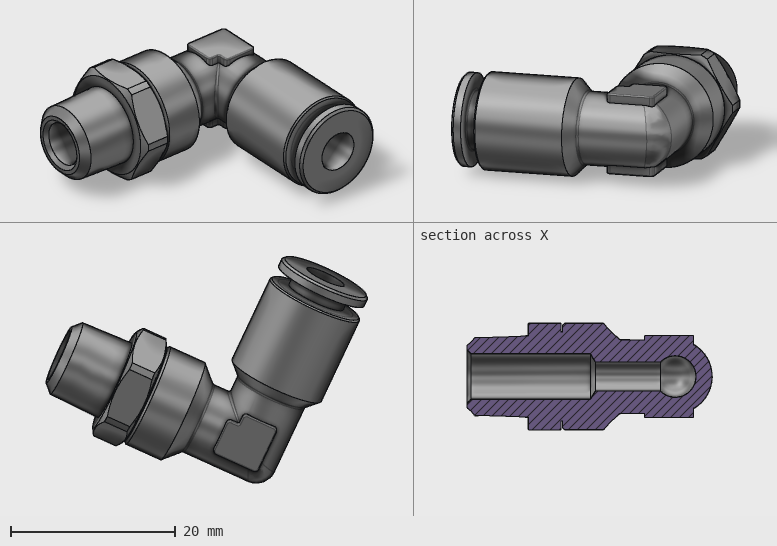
import math

import cadquery as cq


PIPE_R = 4.5
OUTER_BEND_R = 2.4
INNER_BEND_R = 0.3
CORE_HALF_WIDTH = 2.0
NECK_FILLET_R = 0.4
NECK_CONE_ANGLE = math.radians(45)
MITRE_TURN = -45
MITRE_TOLERANCE = 1e-4
ELBOW_REACH = 6.0

PAD_TOP_Z = 5.0
PAD_SIZE = 6.0
PAD_NEAR = -2.25
PAD_NOTCH = 1.5
PAD_CORNER_R = 0.5
PAD_NOTCH_R = 0.2
PAD_EDGE_R = 0.15

LEG_BODY_R = 6.5
LEG_CONE_START = 6.75
LEG_CONE_END = LEG_CONE_START + (LEG_BODY_R - PIPE_R) / math.tan(NECK_CONE_ANGLE)
LEG_BODY_END = 13.7
LEG_BODY_CHAMFER = 0.3
SWIVEL_GAP_R = 5.45
HEX_START = 13.85
HEX_LENGTH = 4.0
HEX_END = HEX_START + HEX_LENGTH
HEX_ACROSS_FLATS = 13.0
HEX_SIDES = 6
HEX_CORNER_R = 7.25
HEX_CHAMFER = 0.5
HEX_CHAMFER_ANGLE = math.radians(30)
LEG_END = 25.3

THREAD_GAUGE_R = 9.728 / 2
THREAD_GAUGE_LENGTH = 4.0
THREAD_SLOPE = 1 / 32
THREAD_CHAMFER = 1.0

ARM_BODY_R = 6.0
ARM_CONE_START = 6.77
ARM_CONE_END = ARM_CONE_START + (ARM_BODY_R - PIPE_R) / math.tan(NECK_CONE_ANGLE)
ARM_BODY_END = 19.48
ARM_BODY_CHAMFER = 0.2
SLEEVE_R = 3.65
SLEEVE_CONE_R = 5.0
SLEEVE_CONE_LENGTH = 0.18
FLANGE_R = 5.75
FLANGE_START = 21.17
FLANGE_ROOT_R = 0.2
FLANGE_CHAMFER = 0.3
ARM_END = 22.4

LEG_PASSAGE_R = 1.75
ARM_BORE_R = 2.5
LEG_BORE_R = 2.75
LEG_BORE_CHAMFER = 0.5
LEG_BORE_DEPTH = 15.0
LEG_BORE_CONE_ANGLE = math.radians(59)


def round_bar(radius, start, end, along_arm):
    """Cylinder between two distances from the origin, on the arm or leg axis."""
    plane = cq.Plane(
        origin=(start, 0, 0) if along_arm else (0, -start, 0),
        xDir=(0, 0, 1),
        normal=(1, 0, 0) if along_arm else (0, -1, 0),
    )
    return cq.Workplane(plane).circle(radius).extrude(end - start)


def turn_about_arm(profile):
    """Revolve a profile drawn as (distance, radius) about the X axis."""
    return profile.close().revolve(360, (0, 0, 0), (1, 0, 0))


def turn_about_leg(profile):
    """Revolve a profile drawn as (distance, radius), then swing it onto -Y."""
    return turn_about_arm(profile).rotate((0, 0, 0), (0, 0, 1), -90)


def flared_start(start, cone_start, cone_end, body_r):
    """Profile of the pipe, its neck fillet and the cone up to the body."""
    tangent = NECK_FILLET_R * math.tan(NECK_CONE_ANGLE / 2)
    along_cone = tangent * math.cos(NECK_CONE_ANGLE)
    up_cone = tangent * math.sin(NECK_CONE_ANGLE)
    return (
        cq.Workplane("XY")
        .moveTo(start, 0)
        .lineTo(start, PIPE_R)
        .lineTo(cone_start - tangent, PIPE_R)
        .radiusArc((cone_start + along_cone, PIPE_R + up_cone), -NECK_FILLET_R)
        .lineTo(cone_end, body_r)
    )


def lies_on_mitre(edge):
    """True for an edge lying in the mitre plane y = -x."""
    probes = [edge.positionAt(along) for along in (0, 0.5, 1)]
    return all(abs(point.x + point.y) < MITRE_TOLERANCE for point in probes)


def mitred_elbow():
    """Two pipes joined on a mitre plane, with both mitre edges rounded."""
    path = cq.Workplane("XY").moveTo(0, -ELBOW_REACH).lineTo(0, 0).lineTo(ELBOW_REACH, 0)
    sharp = (
        cq.Workplane("XZ", origin=(0, -ELBOW_REACH, 0))
        .circle(PIPE_R)
        .sweep(path, transition="right")
    )

    reach = 4 * ELBOW_REACH
    slab = cq.Workplane("XY").box(2 * CORE_HALF_WIDTH, reach, reach)
    core = sharp.intersect(slab.rotate((0, 0, 0), (0, 0, 1), MITRE_TURN))

    def side(direction, bend_r):
        half = cq.Workplane("XY").box(reach, reach, reach)
        half = half.translate((direction * (CORE_HALF_WIDTH + reach / 2), 0, 0))
        piece = sharp.intersect(half.rotate((0, 0, 0), (0, 0, 1), MITRE_TURN))
        return piece.edges().filter(lies_on_mitre).fillet(bend_r)

    return core.union(side(-1, OUTER_BEND_R)).union(side(1, INNER_BEND_R))


def leg_body():
    """Swivel body on the leg, with the narrow gap that separates it from the hex."""
    body = turn_about_leg(
        flared_start(ELBOW_REACH, LEG_CONE_START, LEG_CONE_END, LEG_BODY_R)
        .lineTo(LEG_BODY_END - LEG_BODY_CHAMFER, LEG_BODY_R)
        .lineTo(LEG_BODY_END, LEG_BODY_R - LEG_BODY_CHAMFER)
        .lineTo(LEG_BODY_END, 0)
    )
    return body.union(round_bar(SWIVEL_GAP_R, LEG_BODY_END, HEX_START, along_arm=False))


def hex_collar():
    """Spanner hex with its flats toward +Z and -Z and its corners turned down."""
    across_corners = HEX_ACROSS_FLATS / math.cos(math.pi / HEX_SIDES)
    prism = (
        cq.Workplane("XZ", origin=(0, -HEX_START, 0))
        .polygon(HEX_SIDES, across_corners)
        .extrude(HEX_LENGTH)
    )
    face_r = HEX_CORNER_R - HEX_CHAMFER / math.tan(HEX_CHAMFER_ANGLE)
    corner_limit = turn_about_leg(
        cq.Workplane("XY")
        .moveTo(HEX_START, 0)
        .lineTo(HEX_START, face_r)
        .lineTo(HEX_START + HEX_CHAMFER, HEX_CORNER_R)
        .lineTo(HEX_END - HEX_CHAMFER, HEX_CORNER_R)
        .lineTo(HEX_END, face_r)
        .lineTo(HEX_END, 0)
    )
    return prism.intersect(corner_limit)


def thread_radius(distance):
    """Radius of the taper thread envelope at a distance along the leg."""
    gauge_distance = LEG_END - THREAD_GAUGE_LENGTH
    return THREAD_GAUGE_R + (gauge_distance - distance) * THREAD_SLOPE


def thread():
    """Taper thread envelope with a chamfered end."""
    chamfer_start = LEG_END - THREAD_CHAMFER
    chamfer_r = thread_radius(chamfer_start)
    return turn_about_leg(
        cq.Workplane("XY")
        .moveTo(HEX_END, 0)
        .lineTo(HEX_END, thread_radius(HEX_END))
        .lineTo(chamfer_start, chamfer_r)
        .lineTo(LEG_END, chamfer_r - THREAD_CHAMFER)
        .lineTo(LEG_END, 0)
    )


def arm_body():
    """Socket body on the arm."""
    return turn_about_arm(
        flared_start(ELBOW_REACH, ARM_CONE_START, ARM_CONE_END, ARM_BODY_R)
        .lineTo(ARM_BODY_END - ARM_BODY_CHAMFER, ARM_BODY_R)
        .lineTo(ARM_BODY_END, ARM_BODY_R - ARM_BODY_CHAMFER)
        .lineTo(ARM_BODY_END, 0)
    )


def release_sleeve():
    """Release sleeve: a stem with a low cone at the body and a flange at the end."""
    return turn_about_arm(
        cq.Workplane("XY")
        .moveTo(ARM_BODY_END, 0)
        .lineTo(ARM_BODY_END, SLEEVE_CONE_R)
        .lineTo(ARM_BODY_END + SLEEVE_CONE_LENGTH, SLEEVE_R)
        .lineTo(FLANGE_START - FLANGE_ROOT_R, SLEEVE_R)
        .radiusArc((FLANGE_START, SLEEVE_R + FLANGE_ROOT_R), -FLANGE_ROOT_R)
        .lineTo(FLANGE_START, FLANGE_R)
        .lineTo(ARM_END - FLANGE_CHAMFER, FLANGE_R)
        .lineTo(ARM_END, FLANGE_R - FLANGE_CHAMFER)
        .lineTo(ARM_END, 0)
    )


def marking_pads():
    """Notched square pads on both sides of the elbow, as one bar through it."""
    far = PAD_NEAR + PAD_SIZE
    notch = far - PAD_NOTCH
    bar = (
        cq.Workplane("XY", origin=(0, 0, -PAD_TOP_Z))
        .moveTo(PAD_NEAR, -PAD_NEAR)
        .lineTo(far, -PAD_NEAR)
        .lineTo(far, -notch)
        .lineTo(notch, -notch)
        .lineTo(notch, -far)
        .lineTo(PAD_NEAR, -far)
        .close()
        .extrude(2 * PAD_TOP_Z)
    )
    at_notch = cq.NearestToPointSelector((notch, -notch, 0))
    outer_corners = cq.StringSyntaxSelector("|Z") - at_notch
    bar = bar.edges(outer_corners).fillet(PAD_CORNER_R)
    bar = bar.edges("|Z").edges(at_notch).fillet(PAD_NOTCH_R)
    return bar.faces("<Z or >Z").edges().fillet(PAD_EDGE_R)


def bores():
    """Stepped bore up the leg, meeting a bore along the arm that has a round end."""
    cone_length = (LEG_BORE_R - LEG_PASSAGE_R) / math.tan(LEG_BORE_CONE_ANGLE)
    step = LEG_END - LEG_BORE_DEPTH
    leg_bore = turn_about_leg(
        cq.Workplane("XY")
        .lineTo(0, LEG_PASSAGE_R)
        .lineTo(step - cone_length, LEG_PASSAGE_R)
        .lineTo(step, LEG_BORE_R)
        .lineTo(LEG_END - LEG_BORE_CHAMFER, LEG_BORE_R)
        .lineTo(LEG_END, LEG_BORE_R + LEG_BORE_CHAMFER)
        .lineTo(LEG_END, 0)
    )
    arm_bore = round_bar(ARM_BORE_R, 0, ARM_END, along_arm=True)
    return leg_bore.union(arm_bore).union(cq.Workplane("XY").sphere(ARM_BORE_R))


result = (
    mitred_elbow()
    .union(marking_pads())
    .union(leg_body())
    .union(hex_collar())
    .union(thread())
    .union(arm_body())
    .union(release_sleeve())
    .cut(bores())
)